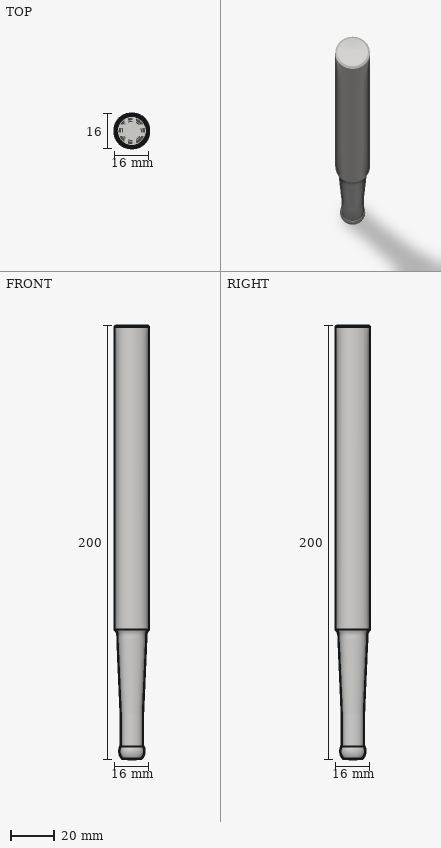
import cadquery as cq
import math

overall_length = 200.0
shank_radius = 16.0 / 2
shank_bottom = 60.0
bottom_chamfer = 0.5
top_chamfer_width = 1.0
top_chamfer_height = 0.8

collar_radius = 13.5 / 2
collar_top = 57.2
collar_bottom = 55.5
neck_radius = 10.5 / 2
neck_top = 21.0

head_height = 6.0
head_radius = 11.5 / 2
head_widest_height = 3.2
head_top_radius = 5.5
end_edge_radius = 4.5
end_cone_height = 0.5


def make_holder():
    """Shank, flared collar, tapered section and neck, revolved about Z."""
    shoulder_radius = shank_radius - bottom_chamfer
    shoulder_height = shank_bottom - bottom_chamfer
    flare_height = shoulder_height - collar_top
    flare_width = shoulder_radius - collar_radius
    flare_radius = (flare_height**2 + flare_width**2) / (2 * flare_width)
    half_angle = math.asin(flare_height / flare_radius) / 2
    flare_middle = (
        collar_radius + flare_radius * (1 - math.cos(half_angle)),
        collar_top + flare_radius * math.sin(half_angle),
    )
    return (
        cq.Workplane("XZ")
        .moveTo(0, head_height)
        .lineTo(neck_radius, head_height)
        .lineTo(neck_radius, neck_top)
        .lineTo(collar_radius, collar_bottom)
        .lineTo(collar_radius, collar_top)
        .threePointArc(flare_middle, (shoulder_radius, shoulder_height))
        .lineTo(shank_radius, shank_bottom)
        .lineTo(shank_radius, overall_length - top_chamfer_height)
        .lineTo(shank_radius - top_chamfer_width, overall_length)
        .lineTo(0, overall_length)
        .close()
        .revolve(360, (0, 0, 0), (0, 1, 0))
    )


def make_cutting_head():
    """Cutting head with a bulging round side and a shallow conical end."""
    return (
        cq.Workplane("XZ")
        .lineTo(end_edge_radius, end_cone_height)
        .threePointArc((head_radius, head_widest_height), (head_top_radius, head_height))
        .lineTo(0, head_height)
        .close()
        .revolve(360, (0, 0, 0), (0, 1, 0))
    )


holder = make_holder()
cutting_head = make_cutting_head()

result = cq.Compound.makeCompound([holder.val(), cutting_head.val()])